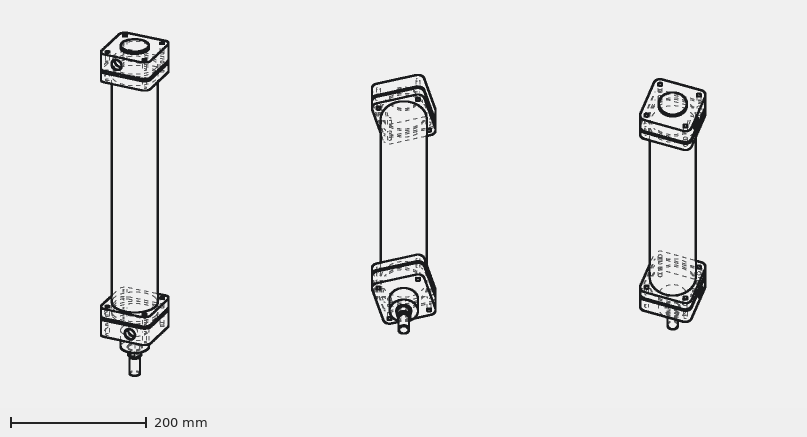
import cadquery as cq

total_height = 541.0
boss_rise = 4.0
cover_thickness = 27.0
flange_gap = 4.0
flange_thickness = 15.0
head_bottom = 72.0
neck_bottom = 45.0

end_cover_top = total_height - boss_rise
end_cover_bottom = end_cover_top - cover_thickness
end_flange_bottom = end_cover_bottom - flange_gap - flange_thickness
head_top = head_bottom + cover_thickness
head_flange_bottom = head_top + flange_gap

plate_side = 80.0
corner_radius = 10.0
bolt_offset = plate_side / 2 - corner_radius
bolt_hole_diameter = 6.0
cover_bolt_depth = 16.0
boss_diameter = 42.0
boss_chamfer = 0.5

port_diameter = 17.0
port_offset = 11.0
port_depth = 11.0
port_chamfer = 0.5
port_below_top = 13.0
port_above_bottom = 13.5

barrel_diameter = 68.0

rod_diameter = 19.5
rod_across_flats = 18.0
rod_collar_diameter = 22.0
rod_collar_height = 1.5
rod_shoulder = 32.0
thread_diameter = 16.0
thread_length = 28.5
thread_chamfer = 1.0
relief_diameter = 13.5


def cylinder(diameter, bottom, top):
    """Cylinder on the main axis between two heights."""
    return cq.Workplane("XY").workplane(offset=bottom).circle(diameter / 2).extrude(top - bottom)


def square_plate(bottom, thickness):
    """Square plate with rounded corners."""
    return (
        cq.Workplane("XY").workplane(offset=bottom)
        .rect(plate_side, plate_side).extrude(thickness)
        .edges("|Z").fillet(corner_radius)
    )


def bolt_holes(bottom, depth):
    """Cutting cylinders for the four corner bolt holes, rising from the given height."""
    return (
        cq.Workplane("XY").workplane(offset=bottom)
        .rect(2 * bolt_offset, 2 * bolt_offset, forConstruction=True).vertices()
        .circle(bolt_hole_diameter / 2).extrude(depth)
    )


def port(x, z):
    """Cutting shape for a blind round port in the front face, with a chamfered mouth."""
    face = cq.Workplane("XZ", origin=(x, -plate_side / 2, z))
    bore_radius = port_diameter / 2 - port_chamfer
    bore = face.circle(bore_radius).extrude(-port_depth)
    mouth = cq.Solid.makeCone(
        port_diameter / 2, bore_radius, port_chamfer,
        pnt=cq.Vector(x, -plate_side / 2, z), dir=cq.Vector(0, 1, 0),
    )
    return bore.union(cq.Workplane(mouth))


def make_end_cover():
    """Closed cover at the top, with a low chamfered boss, blind bolt holes and a port."""
    boss = cylinder(boss_diameter, end_cover_top, total_height).faces(">Z").chamfer(boss_chamfer)
    body = square_plate(end_cover_bottom, cover_thickness).union(boss)
    body = body.cut(bolt_holes(end_cover_top - cover_bolt_depth, cover_bolt_depth))
    return body.cut(port(-port_offset, end_cover_top - port_below_top))


def make_head_cover():
    """Cover at the rod end, with a round neck, blind bolt holes and a port."""
    body = square_plate(head_bottom, cover_thickness)
    body = body.union(cylinder(boss_diameter, neck_bottom, head_bottom))
    body = body.cut(bolt_holes(head_bottom, cover_bolt_depth))
    return body.cut(port(port_offset, head_bottom + port_above_bottom))


def make_flange(bottom):
    """Square flange that fits around the barrel, with through bolt holes."""
    body = square_plate(bottom, flange_thickness).cut(bolt_holes(bottom, flange_thickness))
    return body.cut(cylinder(barrel_diameter, bottom, bottom + flange_thickness))


def make_rod():
    """Stepped rod with a collar, two wrench flats, a thread relief and a chamfered thread."""
    flats = cq.Workplane("XY").workplane(offset=rod_shoulder).rect(rod_diameter, rod_across_flats)
    shank = cylinder(rod_diameter, rod_shoulder, neck_bottom)
    shank = shank.intersect(flats.extrude(neck_bottom - rod_shoulder))
    collar = cylinder(rod_collar_diameter, neck_bottom - rod_collar_height, neck_bottom)
    relief = cylinder(relief_diameter, thread_length, rod_shoulder)
    thread = cylinder(thread_diameter, 0, thread_length).faces("<Z").chamfer(thread_chamfer)
    return thread.union(relief).union(shank).union(collar)


barrel = cylinder(barrel_diameter, head_top, end_cover_bottom)
end_cover = make_end_cover()
head_cover = make_head_cover()
flanges = [make_flange(bottom) for bottom in (head_flange_bottom, end_flange_bottom)]
rod = make_rod()

result = cq.Compound.makeCompound([
    barrel.val(),
    end_cover.val(),
    head_cover.val(),
    *[flange.val() for flange in flanges],
    rod.val(),
])